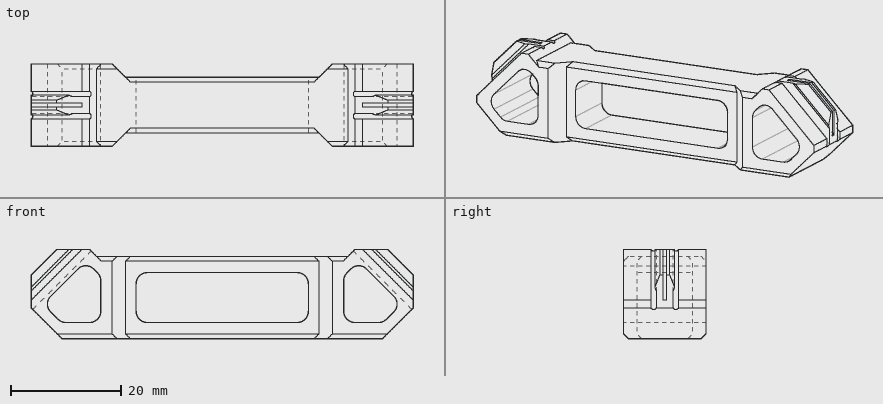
import cadquery as cq
import math

length = 69.3
width = 15.0
end_height = 16.2
bar_height = 15.0
edge_chamfer = 0.9

waist_width = 10.1
taper_start = 14.7
taper_overlap = 2.1

lower_bevel = 5.6
rib_bevel = 4.65
side_bevel = 9.2
crest_end = 10.6

wall = 3.0
window_radius = 2.0
window_start = 19.05
end_window_inner = 12.6
bevel_wall = 2.0

crest_half_width = 0.9
lip_half_width = 1.8
root_half_width = 1.5
root_top = 1.2
lip_height = 1.65
slot_width = 0.7
groove_half_span = 2.5
groove_depth = 1.4

left = -length / 2
rib_height = (side_bevel - rib_bevel) / math.sqrt(2)
shoulder_top = bar_height - edge_chamfer
slope_end = crest_end + end_height - shoulder_top


def chamfered_bar(start, end, bar_width):
    """Bar along X with its four long edges chamfered."""
    bar = cq.Workplane("XY").box(end - start, bar_width, bar_height, centered=(False, True, False))
    return bar.edges("|X").chamfer(edge_chamfer).translate((start, 0, 0))


def side_prism(points):
    """Front outline extruded over the full width; points are (distance from left end, z)."""
    outline = [(left + x, z) for x, z in points]
    return cq.Workplane("XZ").polyline(outline).close().extrude(width / 2, both=True)


def shoulder():
    """Full-width stretch that tapers at 45 degrees into the waist."""
    taper_run = (width - waist_width) / 2 + taper_overlap
    start = left + crest_end
    corner = left + taper_start
    tip_y = width / 2 - taper_run
    plan = (
        cq.Workplane("XY")
        .polyline([
            (start, -width / 2),
            (corner, -width / 2),
            (corner + taper_run, -tip_y),
            (corner + taper_run, tip_y),
            (corner, width / 2),
            (start, width / 2),
        ])
        .close()
        .extrude(bar_height)
    )
    return chamfered_bar(start, corner + taper_run, width).intersect(plan)


def end_block():
    """End profile at full rib height, with the bottom long edges chamfered."""
    block = side_prism([
        (0, lower_bevel),
        (lower_bevel, 0),
        (slope_end, 0),
        (slope_end, shoulder_top),
        (crest_end, end_height),
        (rib_bevel, end_height),
        (0, end_height - rib_bevel),
    ])
    return block.edges("|X and <Z").chamfer(edge_chamfer)


def end_window():
    """Rounded hexagon through the end block, offset inside its sloping faces."""
    offset = bevel_wall * math.sqrt(2)
    lower_sum = lower_bevel + offset
    slope_sum = crest_end + end_height - offset
    bevel_rise = end_height - side_bevel - offset
    window = side_prism([
        ((lower_sum - bevel_rise) / 2, (lower_sum + bevel_rise) / 2),
        (lower_sum - wall, wall),
        (end_window_inner, wall),
        (end_window_inner, slope_sum - end_window_inner),
        ((slope_sum - bevel_rise) / 2, (slope_sum + bevel_rise) / 2),
    ])
    return window.edges("|Y").fillet(window_radius)


def rib_cutters():
    """Material removed beside the rib, and the slot along its crest, running up the bevel."""
    bevel_plane = cq.Plane(
        origin=(left, 0, end_height - side_bevel), xDir=(0, 1, 0), normal=(1, 0, 1)
    )
    cutter_height = 2 * rib_height
    groove_radius = (groove_half_span - root_half_width) / 2
    arc_start = groove_radius - groove_depth
    side = (
        cq.Workplane(bevel_plane)
        .moveTo(width, 0)
        .lineTo(groove_half_span, 0)
        .lineTo(groove_half_span, arc_start)
        .threePointArc((root_half_width + groove_radius, -groove_depth), (root_half_width, arc_start))
        .lineTo(root_half_width, root_top)
        .lineTo(lip_half_width, lip_height)
        .lineTo(crest_half_width, rib_height)
        .lineTo(crest_half_width, cutter_height)
        .lineTo(width, cutter_height)
        .close()
        .extrude(width, both=True)
    )
    slot = (
        cq.Workplane(bevel_plane)
        .center(0, cutter_height / 2)
        .rect(slot_width, cutter_height)
        .extrude(width, both=True)
    )
    return side.union(side.mirror("XZ")).union(slot)


def end_piece():
    """Left end complete with rib, window and shoulder."""
    return end_block().cut(rib_cutters()).union(shoulder()).cut(end_window())


def middle_window():
    """Long rounded window through the waist."""
    window_length = length - 2 * window_start
    window_height = bar_height - 2 * wall
    window = cq.Workplane("XY").box(window_length, width, window_height)
    return window.edges("|Y").fillet(window_radius).translate((0, 0, bar_height / 2))


waist = chamfered_bar(left + taper_start, -left - taper_start, waist_width)
left_end = end_piece()
result = waist.union(left_end).union(left_end.mirror("YZ")).cut(middle_window())